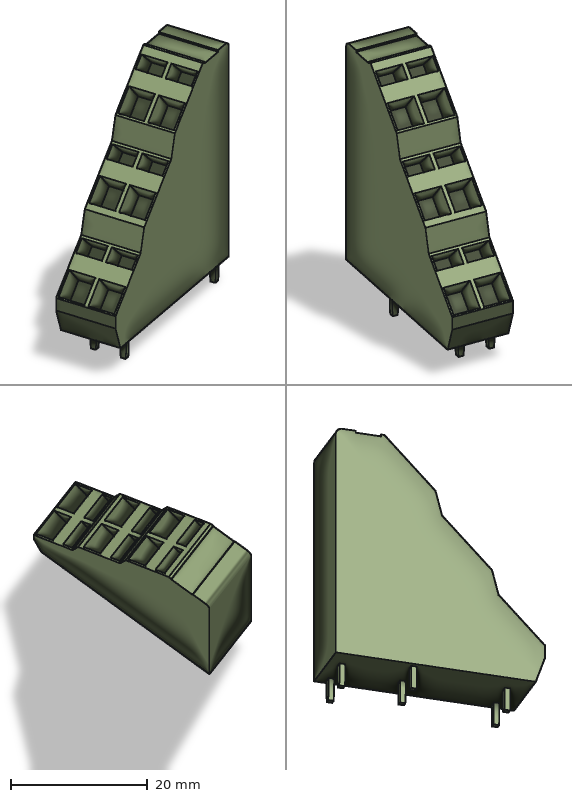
import cadquery as cq
import math


width = 10.15
depth = 32.2
total_height = 40.1
pin_length = 3.53
housing_height = total_height - pin_length

toe_setback = 1.4
toe_height = 4.05
step_run = 1.0
step_rise = 3.85
lower_tier_run = 7.15
middle_tier_run = 7.7
upper_tier_run = 7.9
tier_runs = [lower_tier_run, middle_tier_run, upper_tier_run]
step_count = len(tier_runs) - 1
front_face_top = housing_height - sum(tier_runs) - step_count * step_rise

back_edge_radius = 1.0
top_groove_depth = 0.3
top_groove_width = 3.9
top_groove_back_margin = 3.1

terminal_pitch = 5.1
column_centers = [-terminal_pitch / 2, terminal_pitch / 2]
pocket_width = 4.4
pocket_depth = 4.0
small_pocket_length = 2.35
large_pocket_length = 4.35
pocket_gap = 2.7
large_pocket_draft = 5.0
pocket_margin = 0.45
upper_tier_margin = 1.4
tier_margins = [pocket_margin, pocket_margin, upper_tier_margin]

pin_width = 1.0
pin_thickness = 0.85
pin_tip_height = 0.95
pin_tip_inset = 0.1
pin_row_offset = terminal_pitch / 4
back_row_y = depth - 2.1
middle_row_y = back_row_y - 2 * terminal_pitch
front_row_y = middle_row_y - 3 * terminal_pitch
pin_rows = [
    (front_row_y, pin_row_offset),
    (middle_row_y, -pin_row_offset),
    (back_row_y, pin_row_offset),
]


def stepped_outline():
    """Stair outline in (Y, Z) from the toe to the top, and the upper edge of each tier."""
    y, z = 0.0, front_face_top
    outline = [(toe_setback, 0), (0, toe_height), (y, z)]
    upper_edges = []
    for run in tier_runs:
        y += run
        z += run
        outline.append((y, z))
        upper_edges.append((y, z))
        if len(upper_edges) <= step_count:
            y += step_run
            z += step_rise
            outline.append((y, z))
    return outline, upper_edges


def make_blank(outline):
    """Housing without pockets: the extruded outline with a rounded back edge and a top groove."""
    profile = outline + [(depth, housing_height), (depth, 0)]
    blank = cq.Workplane("YZ").polyline(profile).close().extrude(width / 2, both=True)
    blank = blank.edges(">Y and >Z").fillet(back_edge_radius)
    groove_center_y = depth - top_groove_back_margin - top_groove_width / 2
    groove = cq.Workplane("XY").box(width, top_groove_width, 2 * top_groove_depth)
    return blank.cut(groove.translate((0, groove_center_y, housing_height)))


def make_pocket(face, x, start, length, draft=0.0):
    """Pocket cutter that begins `start` down the face; draft narrows it towards its floor."""
    taper = pocket_depth * math.tan(math.radians(draft))
    end = start + length
    section = [
        (-start, 0),
        (-start - taper, -pocket_depth),
        (-end + taper, -pocket_depth),
        (-end, 0),
    ]
    side = cq.Plane(
        origin=face.toWorldCoords((x - pocket_width / 2, 0, 0)).toTuple(),
        xDir=face.yDir.toTuple(),
        normal=face.xDir.toTuple(),
    )
    return cq.Workplane(side).polyline(section).close().extrude(pocket_width)


def make_housing():
    outline, upper_edges = stepped_outline()
    housing = make_blank(outline)
    for (edge_y, edge_z), margin in zip(upper_edges, tier_margins):
        face = cq.Plane(origin=(0, edge_y, edge_z), xDir=(1, 0, 0), normal=(0, -1, 1))
        large_start = margin + small_pocket_length + pocket_gap
        for x in column_centers:
            housing = housing.cut(make_pocket(face, x, margin, small_pocket_length))
            large_pocket = make_pocket(face, x, large_start, large_pocket_length, large_pocket_draft)
            housing = housing.cut(large_pocket)
    return housing


def make_pin(x, y):
    """Flat pin under the housing whose narrow sides taper in at the tip."""
    half_width = pin_width / 2
    half_tip = half_width - pin_tip_inset
    shoulder_z = pin_tip_height - pin_length
    section = [
        (-half_width, 0),
        (half_width, 0),
        (half_width, shoulder_z),
        (half_tip, -pin_length),
        (-half_tip, -pin_length),
        (-half_width, shoulder_z),
    ]
    pin = cq.Workplane("XZ").polyline(section).close().extrude(pin_thickness / 2, both=True)
    return pin.translate((x, y, 0))


housing = make_housing()
pins = []
for row_y, row_offset in pin_rows:
    for column_x in column_centers:
        pins.append(make_pin(column_x + row_offset, row_y))

result = cq.Compound.makeCompound([housing.val(), *[pin.val() for pin in pins]])